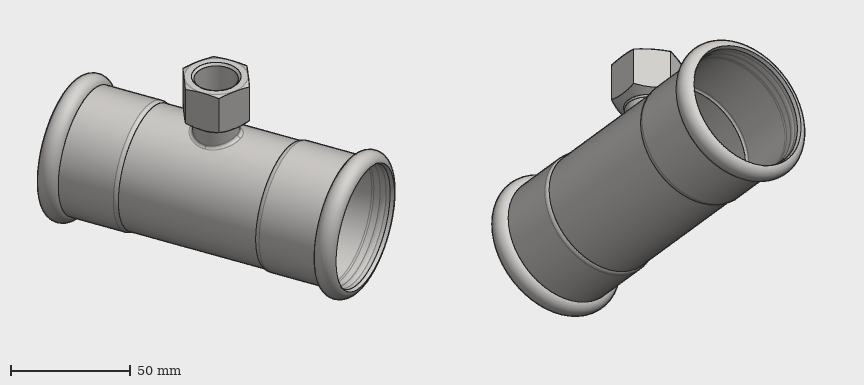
import cadquery as cq
import math

run_length = 139.0
run_od = 56.0
run_id = 53.0
wall = (run_od - run_id) / 2
socket_id = 54.5
socket_od = socket_id + 2 * wall
socket_x = 34.0
shoulder_radius = 3.0
shoulder_centre_radius = socket_od / 2 - shoulder_radius

bead_od = 65.0
bead_radius = 5.0
bead_centre_radius = bead_od / 2 - bead_radius
mouth_od = 56.0
lead_in = 1.7
land_id = 54.7
land_depth = 9.3
land_step = 0.9
seal_width = 2.8
seal_bulge = 0.2

branch_top = 56.0
neck_od = 20.0
neck_id = 17.0
neck_fillet = 1.5
hex_sides = 6
hex_flats = 27.0
hex_corners = hex_flats / math.cos(math.pi / hex_sides)
hex_face_diameter = 26.7
hex_top_angle = math.radians(15)
hex_length = 20.8
hex_base_diameter = 20.8
hex_base_angle = math.radians(30)
hex_base_relief = 1.0
thread_id = 18.63
thread_mouth_diameter = 20.8
thread_depth = 15.0

half_length = run_length / 2
land_x = half_length - land_depth


def bead_offset(radius):
    """Axial distance from the bead centre to the bead surface at a radius from X."""
    return math.sqrt(bead_radius**2 - (radius - bead_centre_radius) ** 2)


bead_x = half_length - bead_offset(mouth_od / 2)


def shoulder_start(radius, arc_radius):
    """X where a shoulder arc, tangent to the socket at its top, meets the run radius."""
    return socket_x - math.sqrt(arc_radius**2 - (radius - shoulder_centre_radius) ** 2)


def add_shoulder(profile, run_r, arc_radius):
    """Extend a profile along the run and up the rounded shoulder into the socket."""
    start_x = shoulder_start(run_r, arc_radius)
    half_angle = math.atan2(socket_x - start_x, run_r - shoulder_centre_radius) / 2
    middle = (
        socket_x - arc_radius * math.sin(half_angle),
        shoulder_centre_radius + arc_radius * math.cos(half_angle),
    )
    end = (socket_x, shoulder_centre_radius + arc_radius)
    return profile.lineTo(start_x, run_r).threePointArc(middle, end)


def revolve_both_ends(profile):
    """Revolve a half profile about X and mirror it to the other end of the run."""
    half = profile.close().revolve(360, (0, 0, 0), (1, 0, 0))
    return half.union(half.mirror("YZ"))


def run_outside():
    """Solid outer form of the run: plain middle, two sockets and two beads."""
    profile = cq.Workplane("XY").lineTo(0, run_od / 2)
    profile = add_shoulder(profile, run_od / 2, shoulder_radius)
    profile = (
        profile.lineTo(bead_x - bead_offset(socket_od / 2), socket_od / 2)
        .threePointArc((bead_x, bead_od / 2), (half_length, mouth_od / 2))
        .lineTo(half_length, 0)
    )
    return revolve_both_ends(profile)


def run_bore():
    """Inside of the run: sockets, seal lands with a bulging seal, and a lead-in cone."""
    land_r = land_id / 2
    seal_end = (bead_x + seal_width / 2, land_r)
    profile = cq.Workplane("XY").lineTo(0, run_id / 2)
    profile = add_shoulder(profile, run_id / 2, shoulder_radius - wall)
    profile = (
        profile.lineTo(land_x - land_step, socket_id / 2)
        .lineTo(land_x, land_r)
        .lineTo(bead_x - seal_width / 2, land_r)
        .threePointArc((bead_x, land_r - seal_bulge), seal_end)
        .lineTo(half_length - lead_in, land_r)
        .lineTo(half_length, mouth_od / 2)
        .lineTo(half_length, 0)
    )
    return revolve_both_ends(profile)


def revolve_z(points):
    """Solid of revolution about Z from (radius, height) points, closed along the axis."""
    axis_points = [(0, points[-1][1]), (0, points[0][1])]
    profile = cq.Workplane("XZ").polyline(points + axis_points).close()
    return profile.revolve(360, (0, 0, 0), (0, 1, 0))


def hex_nut():
    """Hexagon with a shallow top chamfer and a conical underside running into the neck."""
    bottom = branch_top - hex_length
    corner_r = hex_corners / 2
    face_r = hex_face_diameter / 2
    base_r = hex_base_diameter / 2
    envelope = revolve_z([
        (base_r, bottom),
        (corner_r, bottom + (corner_r - base_r) * math.tan(hex_base_angle)),
        (corner_r, branch_top - (corner_r - face_r) * math.tan(hex_top_angle)),
        (face_r, branch_top),
    ])
    relief = revolve_z([(neck_od / 2, bottom - hex_base_relief), (base_r, bottom)])
    prism = cq.Workplane("XY").workplane(offset=bottom).polygon(hex_sides, hex_corners).extrude(hex_length)
    return prism.intersect(envelope).union(relief)


def run_with_neck():
    """Run and neck, with a fillet around the saddle where they meet."""
    neck = cq.Workplane("XY").circle(neck_od / 2).extrude(branch_top - hex_length)
    outside = run_outside().union(neck)
    saddle = cq.selectors.BoxSelector(
        (-neck_od, -neck_od, run_od / 4),
        (neck_od, neck_od, run_od / 2 + neck_fillet),
    )
    saddle_edges = outside.edges(saddle).edges("not %CIRCLE").edges("not %LINE")
    return outside.newObject(saddle_edges.vals()).fillet(neck_fillet)


def branch_bore():
    """Threaded bore with 45 degree cones at its mouth and at its lower end, and the neck bore."""
    neck_r = neck_id / 2
    thread_r = thread_id / 2
    mouth_r = thread_mouth_diameter / 2
    thread_bottom = branch_top - thread_depth
    return revolve_z([
        (neck_r, 0),
        (neck_r, thread_bottom - (thread_r - neck_r)),
        (thread_r, thread_bottom),
        (thread_r, branch_top - (mouth_r - thread_r)),
        (mouth_r, branch_top),
    ])


result = run_with_neck().union(hex_nut()).cut(run_bore()).cut(branch_bore())